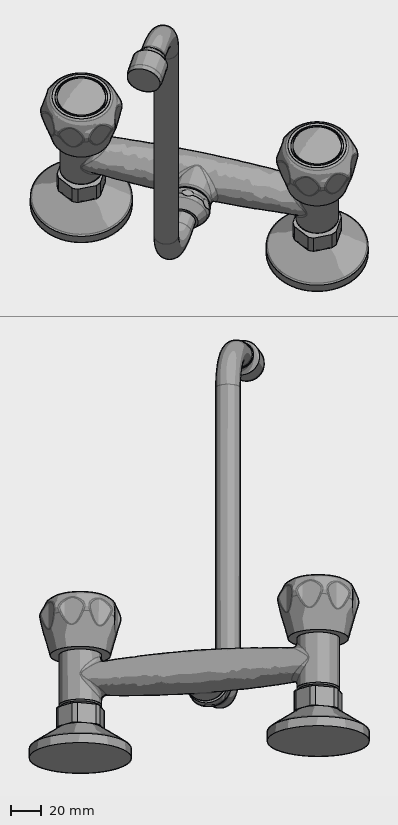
import cadquery as cq
import math


HANDLE_SPACING = 158.0
CROSSBAR_Z = 53.0
HANDLE_XS = (-HANDLE_SPACING / 2, HANDLE_SPACING / 2)

FULL_TURN = 360
HEX_SIDES = 6
HEX_CORNER_RATIO = 1 / math.cos(math.pi / HEX_SIDES)
HALF_HEX_TURN = FULL_TURN / HEX_SIDES / 2

FLANGE_R = 33.0
FLANGE_RIM_Z = 6.3
FLANGE_EDGE_CHAMFER = 1.0
CONE_TOP_R = 14.5
CONE_TOP_Z = 19.5
BASE_TOP_Z = 32.7
BASE_HEX_FLATS = 29.0
BASE_HEX_CORNER_D = 31.5

COLUMN_R = 14.0
COLUMN_BOTTOM_Z = 34.5
COLUMN_CHAMFER = 1.0

KNOB_BOTTOM_Z = 69.5
KNOB_BOTTOM_R = 19.5
KNOB_WAIST_Z = 92.0
KNOB_WAIST_R = 25.8
KNOB_BULGE_Z = 95.7
KNOB_BULGE_R = 26.5
KNOB_SHOULDER_Z = 102.3
KNOB_SHOULDER_R = 23.3
KNOB_RIM_Z = 106.0
KNOB_RIM_R = 20.5
KNOB_TOP_Z = 107.0
KNOB_TOP_R = 19.0
SCALLOP_COUNT = 8
SCALLOP_FLOOR_D = 47.0
SCALLOP_FLOOR_R = SCALLOP_FLOOR_D / 2
SCALLOP_CUTTER_R = 22.0
SCALLOP_EDGE_FILLET = 1.5
CAP_R = 15.7
CAP_GROOVE_WIDTH = 1.3
CAP_GROOVE_DEPTH = 1.3
CAP_EDGE_Z = 107.0
CAP_CENTRE_Z = 109.0

BAR_END_HALF_Y = 13.2
BAR_END_HALF_Z = 9.0
BAR_MID_HALF_Y = 15.5
BAR_MID_HALF_Z = 14.0
JOINT_FILLET = 3.0

NECK_R = 13.5
NECK_END = 21.5
NECK_EDGE_FILLET = 1.3
NECK_GROOVE_R = 12.3
NUT_START = 23.5
NUT_START_R = 14.0
NUT_RIDGE_START = 27.5
NUT_RIDGE_END = 29.3
NUT_RIDGE_R = 14.8
NUT_SHOULDER = 32.0
NUT_SHOULDER_R = 14.0
NUT_END = 38.7
NUT_END_R = 9.8
NUT_FLATS = 28.5

TUBE_D = 16.0
TUBE_R = TUBE_D / 2
BEND_R = 32.7
RISER_REACH = 81.2
TIP_R = 11.5
SPOUT_TOP_Z = 314.8
SPOUT_Z = SPOUT_TOP_Z - TIP_R
TIP_END = 137.0
COLLAR_START = 116.0
COLLAR_R = 8.8
COLLAR_FLARE_MID = 119.0
COLLAR_FLARE_MID_R = 9.8
TIP_START = 121.0
TIP_CHAMFER_LENGTH = 3.0
TIP_CHAMFER_DEPTH = 0.5


def mounting_base(x):
    flange_outline = [
        (0, 0),
        (FLANGE_R, 0),
        (FLANGE_R, FLANGE_RIM_Z),
        (FLANGE_R - FLANGE_EDGE_CHAMFER, FLANGE_RIM_Z + FLANGE_EDGE_CHAMFER),
        (CONE_TOP_R, CONE_TOP_Z),
        (0, CONE_TOP_Z),
    ]
    flange = cq.Workplane("XZ").polyline(flange_outline).close().revolve(FULL_TURN, (0, 0), (0, 1))
    hex_height = BASE_TOP_Z - CONE_TOP_Z
    hexagon = (
        cq.Workplane("XY", origin=(0, 0, CONE_TOP_Z))
        .polygon(HEX_SIDES, BASE_HEX_FLATS * HEX_CORNER_RATIO)
        .extrude(hex_height)
        .rotate((0, 0, 0), (0, 0, 1), HALF_HEX_TURN)
    )
    corner_round = (
        cq.Workplane("XY", origin=(0, 0, CONE_TOP_Z))
        .circle(BASE_HEX_CORNER_D / 2)
        .extrude(hex_height)
    )
    return flange.union(hexagon.intersect(corner_round)).translate((x, 0, 0))


def column(x):
    height = KNOB_BOTTOM_Z - COLUMN_BOTTOM_Z
    shaft = cq.Workplane("XY", origin=(x, 0, COLUMN_BOTTOM_Z)).circle(COLUMN_R).extrude(height)
    return shaft.faces("<Z").chamfer(COLUMN_CHAMFER)


def knob_blank():
    """Solid of revolution of the knob up to its flat top."""
    taper = (KNOB_WAIST_R - KNOB_BOTTOM_R, KNOB_WAIST_Z - KNOB_BOTTOM_Z)
    crown = (KNOB_TOP_R - KNOB_RIM_R, KNOB_TOP_Z - KNOB_RIM_Z)
    shoulder = [
        (KNOB_BULGE_R, KNOB_BULGE_Z),
        (KNOB_SHOULDER_R, KNOB_SHOULDER_Z),
        (KNOB_RIM_R, KNOB_RIM_Z),
    ]
    return (
        cq.Workplane("XZ")
        .moveTo(0, KNOB_BOTTOM_Z)
        .lineTo(KNOB_BOTTOM_R, KNOB_BOTTOM_Z)
        .lineTo(KNOB_WAIST_R, KNOB_WAIST_Z)
        .spline(shoulder, tangents=[taper, crown], includeCurrent=True)
        .lineTo(KNOB_TOP_R, KNOB_TOP_Z)
        .lineTo(0, KNOB_TOP_Z)
        .close()
        .revolve(FULL_TURN, (0, 0), (0, 1))
    )


def scallop_cutters():
    """Upright cylinders that hollow the sides of the knob."""
    return (
        cq.Workplane("XY", origin=(0, 0, KNOB_BOTTOM_Z))
        .polarArray(SCALLOP_FLOOR_R + SCALLOP_CUTTER_R, 0, FULL_TURN, SCALLOP_COUNT)
        .circle(SCALLOP_CUTTER_R)
        .extrude(KNOB_TOP_Z - KNOB_BOTTOM_Z, combine=False)
    )


def knob_cap():
    """Domed disc on top of the knob."""
    floor_z = KNOB_TOP_Z - CAP_GROOVE_DEPTH
    dome_rise = CAP_CENTRE_Z - CAP_EDGE_Z
    dome_radius = (CAP_R**2 + dome_rise**2) / (2 * dome_rise)
    dome_mid_r = CAP_R / 2
    dome_mid_z = CAP_CENTRE_Z - dome_radius + math.sqrt(dome_radius**2 - dome_mid_r**2)
    return (
        cq.Workplane("XZ")
        .moveTo(0, floor_z)
        .lineTo(CAP_R, floor_z)
        .lineTo(CAP_R, CAP_EDGE_Z)
        .threePointArc((dome_mid_r, dome_mid_z), (0, CAP_CENTRE_Z))
        .close()
        .revolve(FULL_TURN, (0, 0), (0, 1))
    )


def is_scallop_edge(edge):
    """True for the free-form edges that border the scallops, below the shoulder."""
    return edge.geomType() == "BSPLINE" and edge.Center().z < KNOB_SHOULDER_Z


def knob(x):
    body = knob_blank()
    for cutter in scallop_cutters().vals():
        body = body.cut(cq.Workplane(cutter))
    groove = (
        cq.Workplane("XY", origin=(0, 0, KNOB_TOP_Z - CAP_GROOVE_DEPTH))
        .circle(CAP_R + CAP_GROOVE_WIDTH)
        .extrude(CAP_GROOVE_DEPTH)
    )
    scalloped = body.newObject([e for e in body.edges().vals() if is_scallop_edge(e)])
    body = scalloped.fillet(SCALLOP_EDGE_FILLET)
    return body.cut(groove).union(knob_cap()).translate((x, 0, 0))


def crossbar():
    half = HANDLE_SPACING / 2
    return (
        cq.Workplane("YZ", origin=(-half, 0, CROSSBAR_Z))
        .ellipse(BAR_END_HALF_Y, BAR_END_HALF_Z)
        .workplane(offset=half)
        .ellipse(BAR_MID_HALF_Y, BAR_MID_HALF_Z)
        .workplane(offset=half)
        .ellipse(BAR_END_HALF_Y, BAR_END_HALF_Z)
        .loft()
    )


def outlet_neck():
    neck = cq.Workplane("XZ", origin=(0, 0, CROSSBAR_Z)).circle(NECK_R).extrude(NECK_END)
    return neck.faces("<Y").fillet(NECK_EDGE_FILLET)


def spout_nut():
    """Turned nut with wrench flats, and the slim stem that joins it to the neck."""
    outline = [
        (0, 0),
        (NECK_GROOVE_R, 0),
        (NECK_GROOVE_R, -NUT_START),
        (NUT_START_R, -NUT_START),
        (NUT_RIDGE_R, -NUT_RIDGE_START),
        (NUT_RIDGE_R, -NUT_RIDGE_END),
        (NUT_SHOULDER_R, -NUT_SHOULDER),
        (NUT_END_R, -NUT_END),
        (0, -NUT_END),
    ]
    profile = cq.Workplane("XY").polyline(outline).close()
    nut = profile.revolve(FULL_TURN, (0, 0), (0, 1)).translate((0, 0, CROSSBAR_Z))
    flat_prism = (
        cq.Workplane("XZ", origin=(0, 0, CROSSBAR_Z))
        .polygon(HEX_SIDES, NUT_FLATS * HEX_CORNER_RATIO)
        .extrude(NUT_END)
    )
    return nut.intersect(flat_prism)


def spout_tube():
    bend_mid = BEND_R * math.sqrt(0.5)
    lower_y = -RISER_REACH + BEND_R
    upper_y = -RISER_REACH - BEND_R
    path = (
        cq.Workplane("YZ")
        .moveTo(-NUT_END, CROSSBAR_Z)
        .lineTo(lower_y, CROSSBAR_Z)
        .threePointArc(
            (lower_y - bend_mid, CROSSBAR_Z + BEND_R - bend_mid),
            (-RISER_REACH, CROSSBAR_Z + BEND_R),
        )
        .lineTo(-RISER_REACH, SPOUT_Z - BEND_R)
        .threePointArc(
            (upper_y + bend_mid, SPOUT_Z - BEND_R + bend_mid),
            (upper_y, SPOUT_Z),
        )
        .lineTo(-COLLAR_START, SPOUT_Z)
    )
    return cq.Workplane("XZ", origin=(0, -NUT_END, CROSSBAR_Z)).circle(TUBE_R).sweep(path)


def spout_tip():
    """Collar that flares into the wide round tip."""
    profile = (
        cq.Workplane("XY")
        .moveTo(0, -COLLAR_START)
        .lineTo(COLLAR_R, -COLLAR_START)
        .threePointArc((COLLAR_FLARE_MID_R, -COLLAR_FLARE_MID), (TIP_R, -TIP_START))
        .lineTo(TIP_R, -TIP_END + TIP_CHAMFER_LENGTH)
        .lineTo(TIP_R - TIP_CHAMFER_DEPTH, -TIP_END)
        .lineTo(0, -TIP_END)
        .close()
    )
    return profile.revolve(FULL_TURN, (0, 0), (0, 1)).translate((0, 0, SPOUT_Z))


def is_joint(edge):
    """True for the free-form edges around the branches, not for the seam along the bar's back."""
    return edge.geomType() == "BSPLINE" and edge.Center().y < BAR_END_HALF_Y


def valve_body():
    """Crossbar, columns and neck, with rounded joints between them."""
    body = crossbar().union(outlet_neck())
    for x in HANDLE_XS:
        body = body.union(column(x))
    joints = [edge for edge in body.edges().vals() if is_joint(edge)]
    return body.newObject(joints).fillet(JOINT_FILLET)


def mixer():
    body = valve_body()
    for x in HANDLE_XS:
        body = body.union(knob(x))
    for piece in (spout_nut(), spout_tube(), spout_tip()):
        body = body.union(piece)
    return body


bases = [mounting_base(x).val() for x in HANDLE_XS]
result = cq.Compound.makeCompound([mixer().val(), *bases])